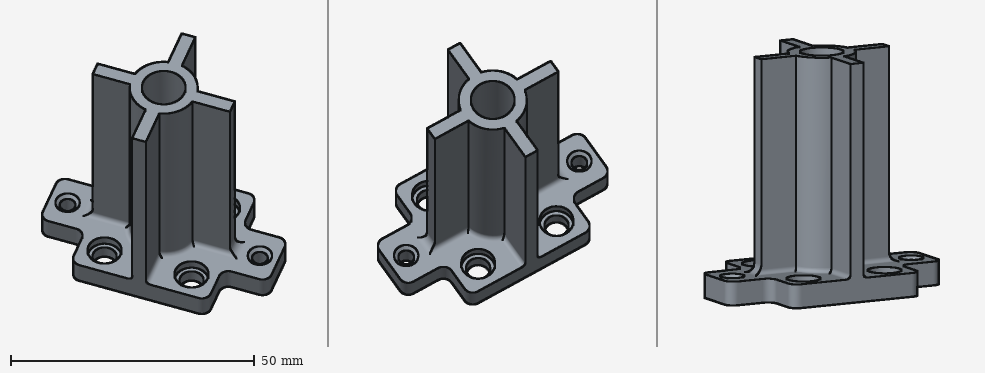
import cadquery as cq
import math

base_length = 50
body_width = 30
arm_width = 12
base_thickness = 5
corner_radius = 2

total_height = 50
tube_diameter = 14
fin_span = body_width
fin_thickness = 3
side_fillet = 1
fin_end_fillet = 2

bore_diameter = 9
bore_floor_fillet = 0.5

bolt_hole_offset = 9.5
bolt_hole_diameter = 5
counterbore_diameter = 7
counterbore_depth = 2

arm_hole_offset = 21
arm_hole_diameter = 3.25
countersink_diameter = 5
countersink_angle = 100


def make_base():
    arm = cq.Workplane("XY").box(base_length, arm_width, base_thickness, centered=(True, True, False))
    body = cq.Workplane("XY").box(body_width, body_width, base_thickness, centered=(True, True, False))
    return body.union(arm).edges("|Z").fillet(corner_radius)


def flared_half_profile(plane, half_width, fillet):
    """Half section of a wall whose foot flares onto the base with a concave arc."""
    arc_inset = fillet * (1 - math.sqrt(0.5))
    return (
        cq.Workplane(plane)
        .moveTo(0, base_thickness)
        .lineTo(half_width + fillet, base_thickness)
        .threePointArc(
            (half_width + arc_inset, base_thickness + arc_inset),
            (half_width, base_thickness + fillet),
        )
        .lineTo(half_width, total_height)
        .lineTo(0, total_height)
        .close()
    )


def flared_wall(plane, half_width, fillet, length):
    half = flared_half_profile(plane, half_width, fillet).extrude(length / 2, both=True)
    mirror_plane = "YZ" if plane == "XZ" else "XZ"
    return half.union(half.mirror(mirror_plane))


def make_column():
    tube = flared_half_profile("XZ", tube_diameter / 2, side_fillet).revolve(360, (0, 0, 0), (0, 1, 0))

    x_fin_sides = flared_wall("YZ", fin_thickness / 2, side_fillet, fin_span + 2 * fin_end_fillet)
    x_fin_ends = flared_wall("XZ", fin_span / 2, fin_end_fillet, fin_thickness + 2 * side_fillet)
    x_fins = x_fin_sides.intersect(x_fin_ends)

    y_fins = flared_wall("XZ", fin_thickness / 2, side_fillet, fin_span)
    return tube.union(x_fins).union(y_fins)


def cut_tube_bore(part):
    bore = (
        cq.Workplane("XY", origin=(0, 0, base_thickness))
        .circle(bore_diameter / 2)
        .extrude(total_height - base_thickness)
        .faces("<Z")
        .edges()
        .fillet(bore_floor_fillet)
    )
    return part.cut(bore)


def cut_bolt_holes(part):
    offsets = (-bolt_hole_offset, bolt_hole_offset)
    corners = [(x, y) for x in offsets for y in offsets]
    centers = [(0, 0)] + corners
    through = cq.Workplane("XY").pushPoints(centers).circle(bolt_hole_diameter / 2).extrude(base_thickness)
    counterbores = (
        cq.Workplane("XY", origin=(0, 0, base_thickness))
        .pushPoints(centers)
        .circle(counterbore_diameter / 2)
        .extrude(-counterbore_depth)
    )
    return part.cut(through).cut(counterbores)


def cut_arm_holes(part):
    return (
        part.copyWorkplane(cq.Workplane("XY", origin=(0, 0, base_thickness)))
        .pushPoints([(-arm_hole_offset, 0), (arm_hole_offset, 0)])
        .cskHole(arm_hole_diameter, countersink_diameter, countersink_angle, depth=base_thickness)
    )


result = make_base().union(make_column())
result = cut_tube_bore(result)
result = cut_bolt_holes(result)
result = cut_arm_holes(result)